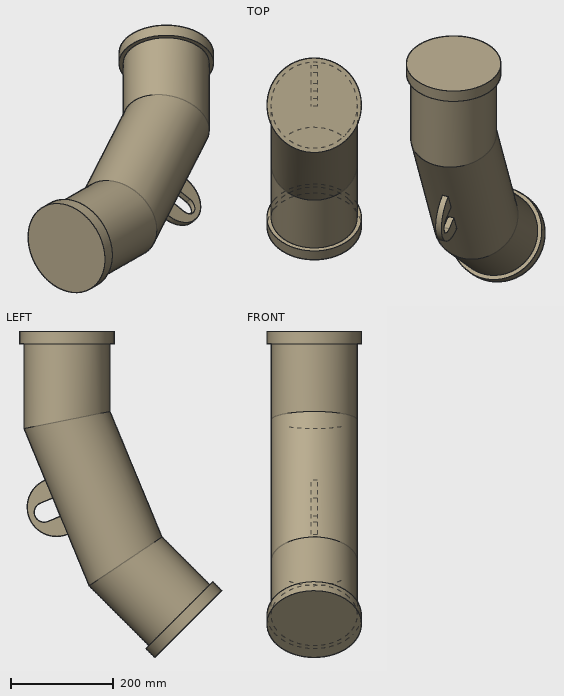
import cadquery as cq
import math

overall_height = 638.5

pipe_radius = 84.0
leg_length = 173.5
bend_angle = 22.5
lower_angle = 2 * bend_angle

collar_radius = 92.5
collar_thickness = 25.0

lug_radius = 57.5
lug_offset = pipe_radius
lug_thickness = 12.0
slot_radius = 19.0
slot_end_offset = 110.5


def direction(angle):
    """Unit vector in the YZ plane, tilted from straight down towards -Y."""
    tilt = math.radians(angle)
    return cq.Vector(0, -math.sin(tilt), -math.cos(tilt))


upper_axis = direction(0)
middle_axis = direction(bend_angle)
lower_axis = direction(lower_angle)

collar_drop = collar_radius * math.sin(math.radians(lower_angle))
middle_drop = overall_height - leg_length - leg_length * abs(lower_axis.z) - collar_drop
middle_length = middle_drop / abs(middle_axis.z)

top_end = cq.Vector(0, 0, 0)
upper_bend = top_end + upper_axis * leg_length
lower_bend = upper_bend + middle_axis * middle_length
bottom_end = lower_bend + lower_axis * leg_length


def make_pipe():
    """Solid round pipe with mitred bends."""
    points = [point.toTuple() for point in (top_end, upper_bend, lower_bend, bottom_end)]
    path = cq.Workplane("YZ").polyline([(y, z) for _, y, z in points])
    return cq.Workplane("XY").circle(pipe_radius).sweep(path, transition="right")


def make_collar(end, inward):
    """Disc flush with a pipe end, reaching back along the pipe."""
    plane = cq.Plane(origin=end, xDir=(1, 0, 0), normal=inward)
    return cq.Workplane(plane).circle(collar_radius).extrude(collar_thickness)


def make_tongue(plane, reach, radius):
    """Plate from the pipe axis outward, with straight sides and a round end."""
    return (
        cq.Workplane(plane)
        .moveTo(0, -radius)
        .lineTo(reach, -radius)
        .threePointArc((reach + radius, 0), (reach, radius))
        .lineTo(0, radius)
        .close()
        .extrude(lug_thickness / 2, both=True)
    )


def make_lug():
    """Slotted plate square to the middle leg at its mid-length."""
    outward = direction(bend_angle - 90)
    middle_centre = (upper_bend + lower_bend) * 0.5
    plane = cq.Plane(origin=middle_centre, xDir=outward, normal=(1, 0, 0))
    plate = make_tongue(plane, lug_offset, lug_radius)
    slot = make_tongue(plane, slot_end_offset, slot_radius)
    return plate.cut(slot)


result = (
    make_pipe()
    .union(make_collar(top_end, upper_axis))
    .union(make_collar(bottom_end, lower_axis * -1))
    .union(make_lug())
)